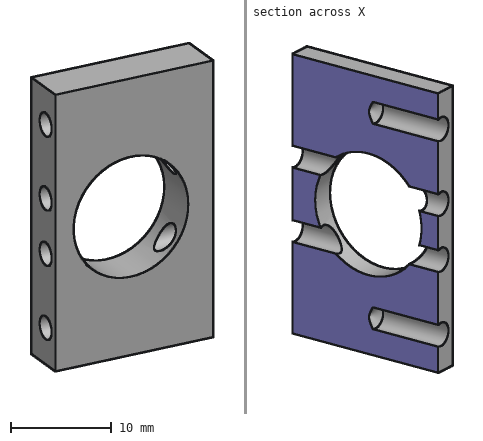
import cadquery as cq
import math

thickness = 5.0
depth = 17.9
height = 30.0

bore_diameter = 13.0
bore_from_front = 8.58

hole_diameter = 2.5
hole_from_left = 3.0
front_hole_offset = 3.0
rear_hole_offset = 4.0
blind_hole_offset = 11.0
blind_hole_depth = 8.0
drill_point_angle = 118.0

front_y = -depth / 2
bore_y = front_y + bore_from_front
hole_x = -thickness / 2 + hole_from_left
hole_radius = hole_diameter / 2


def straight_hole(start_y, length, z):
    """Cylinder running toward +Y from start_y."""
    return cq.Workplane(
        cq.Solid.makeCylinder(
            hole_radius, length, cq.Vector(hole_x, start_y, z), cq.Vector(0, 1, 0)
        )
    )


def blind_hole(z):
    """Drilled hole from the front edge, ending in a conical point."""
    point_length = hole_radius / math.tan(math.radians(drill_point_angle / 2))
    point = cq.Solid.makeCone(
        hole_radius,
        0,
        point_length,
        cq.Vector(hole_x, front_y + blind_hole_depth, z),
        cq.Vector(0, 1, 0),
    )
    return straight_hole(front_y, blind_hole_depth, z).union(cq.Workplane(point))


plate = cq.Workplane("XY").box(thickness, depth, height)

bore = (
    cq.Workplane("YZ")
    .center(bore_y, 0)
    .circle(bore_diameter / 2)
    .extrude(thickness / 2, both=True)
)
result = plate.cut(bore)

for side in (-1, 1):
    result = result.cut(straight_hole(front_y, bore_from_front, side * front_hole_offset))
    result = result.cut(straight_hole(bore_y, depth - bore_from_front, side * rear_hole_offset))
    result = result.cut(blind_hole(side * blind_hole_offset))